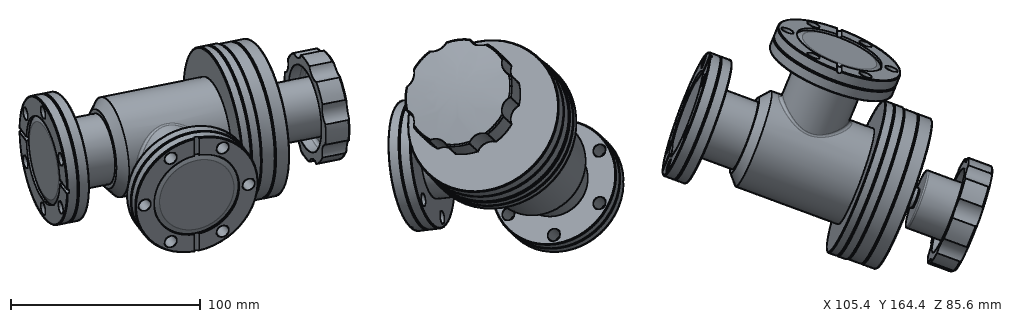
import cadquery as cq
import math


TOTAL_LENGTH = 164.4
TOTAL_WIDTH = 105.4

PORT_FLANGE_DIAMETER = 69.5
PORT_FLANGE_THICKNESS = 12.7
EDGE_CHAMFER = 0.5
BOLT_COUNT = 6
BOLT_CIRCLE_DIAMETER = 58.8
BOLT_HOLE_DIAMETER = 6.9
SEAL_RECESS_DIAMETER = 48.2
SEAL_RECESS_DEPTH = 1.3
SEAL_TOP_DIAMETER = 42.0
SEAL_HEIGHT = 1.0
LEAK_GROOVE_WIDTH = 2.6

PORT_TUBE_DIAMETER = 38.1
BODY_DIAMETER = 53.9
CONE_END_DIAMETER = 42.7
CONE_START = 33.2
CONE_END = 38.1
BODY_END = 96.0
SIDE_PORT_HEIGHT = 62.5
SIDE_PORT_FILLET = 1.6

BONNET_DIAMETER = 85.6
BONNET_DISC_THICKNESSES = (5.3, 5.6)
COVER_DIAMETER = 84.7
COVER_DISC_THICKNESS = 8.0

SIDE_FACE = TOTAL_WIDTH - BONNET_DIAMETER / 2

BOSS_DIAMETER = 19.7
BOSS_HEIGHT = 3.1
STEM_DIAMETER = 11.3
STEM_HEIGHT = 3.5
STEM_NECK_DIAMETER = 10.5

HUB_DIAMETER = 32.4
HUB_START = 130.2
HUB_FILLET = 0.8
WHEEL_DIAMETER = 59.8
WHEEL_START = 148.3
WHEEL_RIM_TOP = 161.2
WHEEL_EDGE_CHAMFER = 0.8
WHEEL_RECESS_DIAMETER = 47.3
WHEEL_RECESS_DEPTH = 7.9
WHEEL_RECESS_FILLET = 2.0
LOBE_COUNT = 8
LOBE_ANGLE = 24.0
SCOOP_DIAMETER = 15.8


def disc(start, end, diameter):
    """Plain cylinder on the Y axis between two heights."""
    plane = cq.Plane(origin=(0, start, 0), xDir=(1, 0, 0), normal=(0, 1, 0))
    return cq.Workplane(plane).circle(diameter / 2).extrude(end - start)


def chamfered_disc(start, end, diameter):
    return disc(start, end, diameter).edges().chamfer(EDGE_CHAMFER)


def port_flange(plane):
    """Pair of discs with its sealing face on the plane; the leak grooves run along the plane's X."""
    radius = PORT_FLANGE_DIAMETER / 2
    recess_radius = SEAL_RECESS_DIAMETER / 2
    half = PORT_FLANGE_THICKNESS / 2
    front = cq.Workplane(plane).circle(radius).extrude(-half).edges().chamfer(EDGE_CHAMFER)
    back = cq.Workplane(plane).workplane(offset=-half).circle(radius).extrude(-half)
    flange = front.union(back.edges().chamfer(EDGE_CHAMFER))

    holes = (
        cq.Workplane(plane)
        .polarArray(BOLT_CIRCLE_DIAMETER / 2, 90, 360, BOLT_COUNT)
        .circle(BOLT_HOLE_DIAMETER / 2)
        .extrude(-PORT_FLANGE_THICKNESS)
    )
    groove = (
        cq.Workplane(cq.Plane(plane.origin - plane.xDir * radius, plane.zDir, plane.xDir))
        .circle(LEAK_GROOVE_WIDTH / 2)
        .extrude(2 * radius)
    )
    recess = cq.Workplane(plane).circle(recess_radius).extrude(-SEAL_RECESS_DEPTH)
    seal_taper = math.degrees(math.atan((SEAL_RECESS_DIAMETER - SEAL_TOP_DIAMETER) / 2 / SEAL_HEIGHT))
    seal = (
        cq.Workplane(plane)
        .workplane(offset=-SEAL_RECESS_DEPTH)
        .circle(recess_radius)
        .extrude(SEAL_HEIGHT, taper=seal_taper)
    )
    return flange.cut(holes).cut(groove).cut(recess).union(seal)


def valve_body():
    """Inlet tube, shoulder cone and body as one turned shape, with the side tube blended in."""
    tube_radius = PORT_TUBE_DIAMETER / 2
    body_radius = BODY_DIAMETER / 2
    turned = (
        cq.Workplane("XY")
        .moveTo(0, PORT_FLANGE_THICKNESS)
        .lineTo(tube_radius, PORT_FLANGE_THICKNESS)
        .lineTo(tube_radius, CONE_START)
        .lineTo(CONE_END_DIAMETER / 2, CONE_START)
        .lineTo(body_radius, CONE_END)
        .lineTo(body_radius, BODY_END)
        .lineTo(0, BODY_END)
        .close()
        .revolve(360, (0, 0, 0), (0, 1, 0))
    )
    side_tube = (
        cq.Workplane("YZ")
        .center(SIDE_PORT_HEIGHT, 0)
        .circle(tube_radius)
        .extrude(SIDE_FACE - PORT_FLANGE_THICKNESS)
    )
    joint = cq.selectors.BoxSelector(
        (body_radius / 2, SIDE_PORT_HEIGHT - body_radius, -body_radius),
        (SIDE_FACE / 2, SIDE_PORT_HEIGHT + body_radius, body_radius),
        boundingbox=True,
    )
    return turned.union(side_tube).edges(joint).fillet(SIDE_PORT_FILLET)


def bonnet_and_stem():
    """Stack of flange discs, then the stepped stem up to the hub."""
    stack = None
    height = BODY_END
    layers = [(BONNET_DIAMETER, thickness) for thickness in BONNET_DISC_THICKNESSES]
    layers += [(COVER_DIAMETER, COVER_DISC_THICKNESS)] * 2
    for diameter, thickness in layers:
        layer = chamfered_disc(height, height + thickness, diameter)
        stack = layer if stack is None else stack.union(layer)
        height += thickness

    boss_end = height + BOSS_HEIGHT
    stem_end = boss_end + STEM_HEIGHT
    stack = stack.union(disc(height, boss_end, BOSS_DIAMETER))
    stack = stack.union(disc(boss_end, stem_end, STEM_DIAMETER))
    return stack.union(disc(stem_end, HUB_START, STEM_NECK_DIAMETER))


def handwheel():
    """Domed, scooped wheel with an annular recess around its hub."""
    radius = WHEEL_DIAMETER / 2
    dome_radius = radius - WHEEL_EDGE_CHAMFER
    dome_start = WHEEL_RIM_TOP + WHEEL_EDGE_CHAMFER
    sag = TOTAL_LENGTH - dome_start
    sphere_radius = (dome_radius**2 + sag**2) / (2 * sag)
    mid_radius = dome_radius / 2
    mid_height = TOTAL_LENGTH - sphere_radius + math.sqrt(sphere_radius**2 - mid_radius**2)
    wheel = (
        cq.Workplane("XY")
        .moveTo(0, WHEEL_START)
        .lineTo(radius, WHEEL_START)
        .lineTo(radius, WHEEL_RIM_TOP)
        .lineTo(dome_radius, dome_start)
        .threePointArc((mid_radius, mid_height), (0, TOTAL_LENGTH))
        .close()
        .revolve(360, (0, 0, 0), (0, 1, 0))
    )

    half_gap = math.radians(360 / LOBE_COUNT - LOBE_ANGLE) / 2
    half_chord = radius * math.sin(half_gap)
    scoop_radius = SCOOP_DIAMETER / 2
    scoop_centre = radius * math.cos(half_gap) + math.sqrt(scoop_radius**2 - half_chord**2)
    plane = cq.Plane(origin=(0, WHEEL_START, 0), xDir=(1, 0, 0), normal=(0, 1, 0))
    scoops = (
        cq.Workplane(plane)
        .polarArray(scoop_centre, 180 / LOBE_COUNT, 360, LOBE_COUNT)
        .circle(scoop_radius)
        .extrude(TOTAL_LENGTH - WHEEL_START)
    )

    recess_end = WHEEL_START + WHEEL_RECESS_DEPTH
    recess = disc(WHEEL_START, recess_end, WHEEL_RECESS_DIAMETER)
    recess = recess.cut(disc(WHEEL_START, recess_end, HUB_DIAMETER))
    recess = recess.faces(">Y").edges().fillet(WHEEL_RECESS_FILLET)
    hub = disc(HUB_START, WHEEL_START, HUB_DIAMETER).faces("<Y").edges().fillet(HUB_FILLET)
    return wheel.cut(scoops).cut(recess).union(hub)


inlet_plane = cq.Plane(origin=(0, 0, 0), xDir=(1, 0, 0), normal=(0, -1, 0))
side_plane = cq.Plane(origin=(SIDE_FACE, SIDE_PORT_HEIGHT, 0), xDir=(0, 0, 1), normal=(1, 0, 0))

result = (
    valve_body()
    .union(port_flange(inlet_plane))
    .union(port_flange(side_plane))
    .union(bonnet_and_stem())
    .union(handwheel())
)